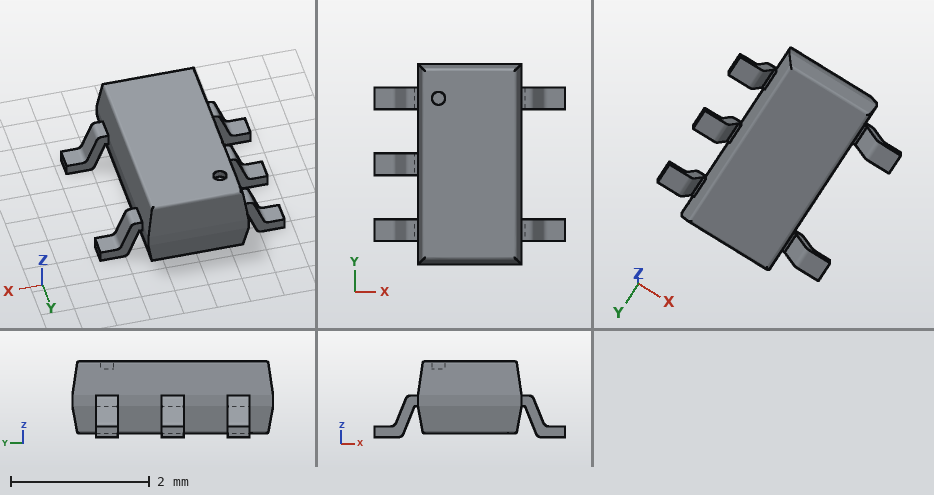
import cadquery as cq
import math

BODY_WIDTH = 1.5
BODY_LENGTH = 2.9
BODY_BOTTOM = 0.055
BODY_TOP = 1.1
LEAD_THICKNESS = 0.16
BAND_BOTTOM = 0.447
BAND_TOP = BAND_BOTTOM + LEAD_THICKNESS
TAPER_INSET = 0.072
EDGE_RADIUS = 0.04

MARK_DIAMETER = 0.188
MARK_DEPTH = 0.11
MARK_FROM_SIDE = 0.3
MARK_FROM_END = 0.5

LEAD_SPAN = 2.75
LEAD_WIDTH = 0.32
LEAD_PITCH = 0.95
LEAD_SLOPE = 68.0
SHOULDER_LENGTH = 0.045
BEND_RADIUS = 0.08
LEFT_ROWS = (-1, 0, 1)
RIGHT_ROWS = (-1, 1)


def tapered_half(band_z, face_z):
    """Half of the housing, narrowing from the band to its outer face."""
    direction = math.copysign(1, face_z - band_z)
    height = abs(face_z - band_z)
    half = (
        cq.Workplane("XY", origin=(0, 0, band_z))
        .rect(BODY_WIDTH, BODY_LENGTH)
        .workplane(offset=direction * height)
        .rect(BODY_WIDTH - 2 * TAPER_INSET, BODY_LENGTH - 2 * TAPER_INSET)
        .loft(ruled=True)
    )
    return half


def make_housing():
    band = cq.Workplane("XY", origin=(0, 0, BAND_BOTTOM)).rect(BODY_WIDTH, BODY_LENGTH).extrude(LEAD_THICKNESS)
    housing = (
        band.union(tapered_half(BAND_TOP, BODY_TOP))
        .union(tapered_half(BAND_BOTTOM, BODY_BOTTOM))
        .faces("<Z or >Z")
        .edges()
        .fillet(EDGE_RADIUS)
    )
    mark_x = MARK_FROM_SIDE - BODY_WIDTH / 2
    mark_y = BODY_LENGTH / 2 - MARK_FROM_END
    mark = (
        cq.Workplane("XY", origin=(mark_x, mark_y, BODY_TOP))
        .circle(MARK_DIAMETER / 2)
        .extrude(-MARK_DEPTH)
    )
    return housing.cut(mark)


def make_left_lead(y):
    """Lead on the -X side, centred at y, with its shoulder end on the band."""
    slope = math.radians(LEAD_SLOPE)
    body_x = -BODY_WIDTH / 2
    tip_x = -LEAD_SPAN / 2
    mitre = LEAD_THICKNESS * math.tan(slope / 2)
    inner_top_x = body_x - SHOULDER_LENGTH
    inner_foot_x = inner_top_x - BAND_BOTTOM / math.tan(slope)
    outer_top_x = inner_top_x - mitre
    outer_foot_x = inner_foot_x - mitre
    strip = (
        cq.Workplane("XZ", origin=(0, y + LEAD_WIDTH / 2, 0))
        .moveTo(tip_x, 0)
        .lineTo(inner_foot_x, 0)
        .lineTo(inner_top_x, BAND_BOTTOM)
        .lineTo(body_x, BAND_BOTTOM)
        .lineTo(body_x, BAND_TOP)
        .lineTo(outer_top_x, BAND_TOP)
        .lineTo(outer_foot_x, LEAD_THICKNESS)
        .lineTo(tip_x, LEAD_THICKNESS)
        .close()
        .extrude(LEAD_WIDTH)
    )
    bends = (
        (inner_foot_x, 0),
        (outer_foot_x, LEAD_THICKNESS),
        (outer_top_x, BAND_TOP),
    )
    for bend_x, bend_z in bends:
        strip = strip.edges(cq.NearestToPointSelector((bend_x, y, bend_z))).fillet(BEND_RADIUS)
    return strip


def make_right_lead(y):
    """Lead on the +X side: the left lead turned half a turn about Z."""
    return make_left_lead(-y).rotate((0, 0, 0), (0, 0, 1), 180)


housing = make_housing()
left_leads = [make_left_lead(row * LEAD_PITCH) for row in LEFT_ROWS]
right_leads = [make_right_lead(row * LEAD_PITCH) for row in RIGHT_ROWS]
leads = left_leads + right_leads

result = cq.Compound.makeCompound([housing.val(), *[lead.val() for lead in leads]])